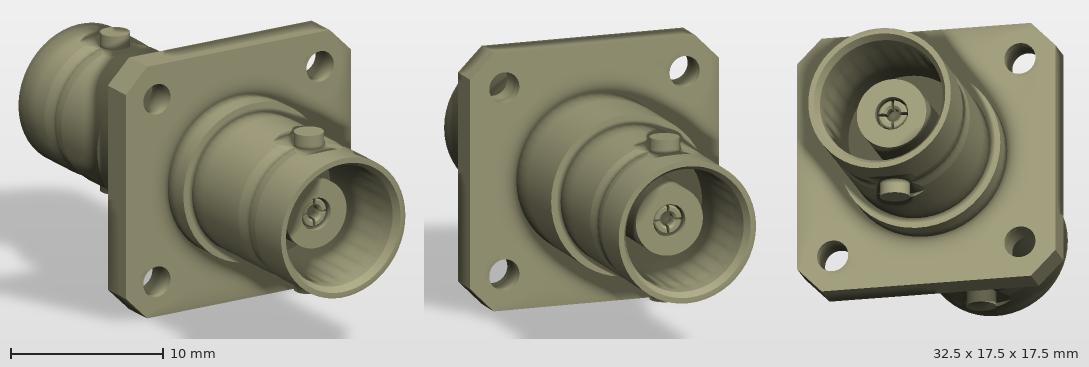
import cadquery as cq

length = 32.5
barrel_radius = 9.65 / 2
collar_radius = 11.0 / 2
collar_start = 10.83
collar_end = 21.5

flange_side = 17.5
flange_start = 17.3
flange_thickness = 2.25
flange_corner_chamfer = 1.65
flange_hole_diameter = 2.1
flange_hole_spacing = 12.68

pin_position = 4.25
pin_diameter = 1.98
pocket_radius = 2.4
pocket_floor = 4.55
groove_half_width = 1.05
groove_bottom_radius = 4.68

mouth_radius = 4.45
lead_in_radius = 4.15
lead_in_depth = 0.52
bore_end_radius = 4.1
bore_depth = 8.13

insulator_radius = 4.7 / 2
insulator_recess = 3.35
contact_well_radius = 2.25 / 2
contact_well_depth = 1.3

contact_recess = 0.23
contact_radius = 0.98
contact_tip_radius = 0.88
contact_tip_length = 0.1
socket_mouth_radius = 0.62
socket_radius = 0.45
socket_lead_in = 0.15
socket_depth = 0.8
contact_slot_width = 0.2


def turned(profile):
    """Solid of revolution about X from (x, radius) points."""
    return cq.Workplane("XY").polyline(profile).close().revolve(360, (0, 0, 0), (1, 0, 0))


def rod(start, end, radius):
    """Cylinder along X."""
    return cq.Workplane("YZ", origin=(start, 0, 0)).circle(radius).extrude(end - start)


def upright_pair(radius, start_height):
    """Two cylinders along Z at the pin position, from start_height out to the collar radius, up and down."""
    upper = cq.Workplane("XY", origin=(pin_position, 0, start_height)).circle(radius)
    upper = upper.extrude(collar_radius - start_height)
    return upper.union(upper.mirror("XY"))


def make_flange():
    plate = cq.Workplane("YZ", origin=(flange_start, 0, 0)).rect(flange_side, flange_side)
    plate = plate.extrude(flange_thickness).edges("|X").chamfer(flange_corner_chamfer)
    hole_centers = plate.faces("<X").workplane(origin=(flange_start, 0, 0))
    hole_centers = hole_centers.rect(flange_hole_spacing, flange_hole_spacing, forConstruction=True)
    return hole_centers.vertices().hole(flange_hole_diameter)


def make_groove():
    cutter_radius = 2 * barrel_radius - groove_bottom_radius
    cutter_half_width = 2 * groove_half_width
    return turned([
        (pin_position, groove_bottom_radius),
        (pin_position + cutter_half_width, cutter_radius),
        (pin_position - cutter_half_width, cutter_radius),
    ])


def make_pockets():
    return upright_pair(pocket_radius, pocket_floor)


def make_bore():
    return turned([
        (0, 0),
        (0, mouth_radius),
        (lead_in_depth, lead_in_radius),
        (bore_depth, bore_end_radius),
        (bore_depth, 0),
    ])


def make_pins():
    wall_middle = (lead_in_radius + pocket_floor) / 2
    return upright_pair(pin_diameter / 2, wall_middle)


def make_contact():
    tip = insulator_recess + contact_recess
    base = insulator_recess + contact_well_depth
    contact = turned([
        (base, 0),
        (base, contact_radius),
        (tip + contact_tip_length, contact_radius),
        (tip, contact_tip_radius),
        (tip, socket_mouth_radius),
        (tip + socket_lead_in, socket_radius),
        (tip + socket_depth, socket_radius),
        (tip + socket_depth, 0),
    ])
    slot = cq.Workplane("XY").box(socket_depth, contact_slot_width, 2 * contact_radius)
    slot = slot.translate((tip + socket_depth / 2, 0, 0))
    crossing_slot = slot.rotate((0, 0, 0), (1, 0, 0), 90)
    return contact.cut(slot).cut(crossing_slot)


def make_insulator():
    insulator = rod(insulator_recess, length / 2, insulator_radius)
    well = rod(insulator_recess, insulator_recess + contact_well_depth, contact_well_radius)
    return insulator.cut(well).union(make_contact())


def make_half():
    """Left half of the jack, without the collar and flange."""
    half = rod(0, length / 2, barrel_radius)
    half = half.cut(make_groove()).cut(make_pockets()).cut(make_bore())
    return half.union(make_pins()).union(make_insulator())


left_half = make_half()
right_half = left_half.mirror("YZ", (length / 2, 0, 0))
collar = rod(collar_start, collar_end, collar_radius)
result = left_half.union(right_half).union(collar).union(make_flange())